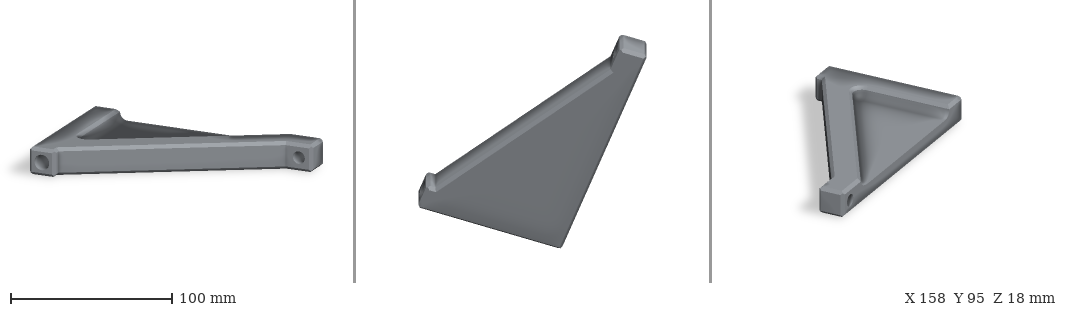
import cadquery as cq

length = 158.0
depth = 95.0
thickness = 18.0

bar_width = thickness
edge_chamfer = 2.0
brace_foot_y = 5.4

recess_depth = 7.3
recess_corner_radius = 6.0
recess_floor_radius = 5.0
recess_overrun = 31.6

foot_hole_diameter = 10.1
foot_hole_depth = 31.6
end_hole_diameter = 8.2

brace_start = cq.Vector(bar_width, brace_foot_y)
brace_end = cq.Vector(length - bar_width, depth - bar_width)
brace_run = brace_end - brace_start
brace_slope = brace_run.y / brace_run.x


def make_plate():
    return (
        cq.Workplane("XY")
        .moveTo(0, 0)
        .lineTo(bar_width, 0)
        .lineTo(brace_start.x, brace_start.y)
        .lineTo(brace_end.x, brace_end.y)
        .lineTo(length, depth - bar_width)
        .lineTo(length, depth)
        .lineTo(0, depth)
        .close()
        .extrude(thickness)
    )


def make_recess():
    """Triangular cutter whose sloping wall is one bar width inside the brace edge."""
    corner_y = brace_start.y + bar_width * brace_run.Length / brace_run.x
    back_y = depth + recess_overrun
    far_x = bar_width + (back_y - corner_y) / brace_slope
    prism = (
        cq.Workplane("XY", origin=(0, 0, thickness - recess_depth))
        .moveTo(bar_width, corner_y)
        .lineTo(far_x, back_y)
        .lineTo(bar_width, back_y)
        .close()
        .extrude(2 * recess_depth)
    )
    prism = prism.edges("|Z").edges("<Y").fillet(recess_corner_radius)
    return prism.faces("<Z").edges("not >Y").fillet(recess_floor_radius)


def chamfer_corners(plate):
    """Chamfer the outer upright corners."""
    side_corners = plate.edges("|Z").edges("<X or >X")
    foot_corners = plate.edges("|Z").edges("<Y")
    corners = set(side_corners.vals() + foot_corners.vals())
    return plate.newObject(list(corners)).chamfer(edge_chamfer)


def make_hole(x, front_y, diameter, hole_depth):
    return (
        cq.Workplane("XZ", origin=(x, front_y, thickness / 2))
        .circle(diameter / 2)
        .extrude(-hole_depth)
    )


plate = make_plate()
recessed_plate = plate.cut(make_recess())
body = recessed_plate.faces(">Z or <Z").edges().chamfer(edge_chamfer).intersect(chamfer_corners(plate))
foot_hole = make_hole(bar_width / 2, 0, foot_hole_diameter, foot_hole_depth)
end_hole = make_hole(length - bar_width / 2, depth - bar_width, end_hole_diameter, bar_width)
result = body.cut(foot_hole).cut(end_hole)